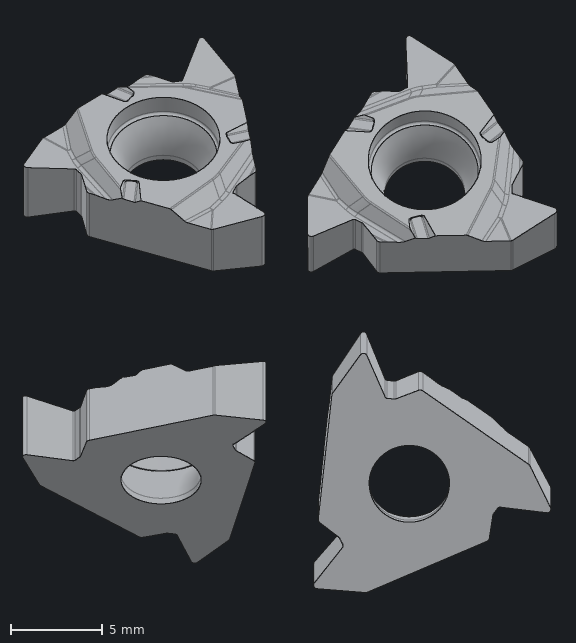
import math

import cadquery as cq

TEETH = 3
THICKNESS = 4.1
INSCRIBED_RADIUS = 9.525 / 2
TOLERANCE = 1e-4
BIG = 30.0

TOOTH_SHOULDER_Y = -4.70
TOOTH_AXIS_X = -3.265
SHOULDER_FILLET = 0.25
TOOTH_HALF_ANGLE = 28.8
TOOTH_TIP_RADIUS = 0.208
NOTCH_Y = -4.765
NOTCH_END_X = -1.28
CORNER_X = 0.06
NOTCH_ROOT_FILLET = 0.12
NOTCH_EDGE_FILLET = 0.25
CORNER_FILLET = 0.25

TOOTH_RAKE = 15.0
TOOTH_BASE_Z = 3.385
SIDE_FLOOR_Z = 3.365
SIDE_FLOOR_TILT = 5.0
CORNER_LAND_Z = 3.53
CORNER_LAND_LEFT = -1.2
CORNER_LAND_RIGHT = 1.8
CORNER_LAND_FRONT = -7.0
CORNER_LAND_BLEND = 0.3
POCKET_LEFT, POCKET_RIGHT = -9.0, 7.0
POCKET_FRONT, POCKET_BACK = -11.0, -1.0
POCKET_ROOM = 1.0
MARGIN = 0.1
FLOOR_FILLET = 0.25

WALL_BEND = (-1.58, -3.735)
SIDE_WALL_HEADING = -25.3
SIDE_WALL_SLOPE = 42.0
CORNER_WALL_HEADING = -8.2
CORNER_WALL_SLOPE = 46.5
WALL_BEND_RADIUS = 2.6
WALL_TOP_FILLET = 0.13

GROOVE_START = (1.28, -3.32)
GROOVE_HEADING = -45.0
GROOVE_FLOOR_WIDTH = 0.66
GROOVE_START_DEPTH = 0.08
GROOVE_FALL = 8.5
GROOVE_WALL_ANGLE = 50.0
GROOVE_FILLET = 0.12
GROOVE_LENGTH = 3.0
GROOVE_PROFILE_HEIGHT = 1.0

HOLE_RADIUS = 4.4 / 2
RECESS_RADIUS = 6.2 / 2
RECESS_DEPTH = 1.145
RECESS_FOOT_ROUND = 0.16
SEAT_ARC_RADIUS = 4.3


def side_direction(heading):
    angle = math.radians(heading)
    return cq.Vector(math.cos(angle), math.sin(angle), 0)


def half_space(point, normal):
    """Large block on the side of a plane that the normal points to."""
    return cq.Workplane(cq.Plane(point, normal=normal)).rect(BIG, BIG).extrude(BIG)


def blank():
    """Prism with the full outline and its vertical edges rounded."""
    spread = math.tan(math.radians(TOOTH_HALF_ANGLE))
    apex_y = TOOTH_SHOULDER_Y - (TOOTH_AXIS_X + INSCRIBED_RADIUS) / spread
    notch_start_x = TOOTH_AXIS_X + (NOTCH_Y - apex_y) * spread
    corner_y = (CORNER_X * math.cos(math.pi / TEETH) - INSCRIBED_RADIUS) / math.sin(math.pi / TEETH)
    third = [
        (-INSCRIBED_RADIUS, TOOTH_SHOULDER_Y),
        (TOOTH_AXIS_X, apex_y),
        (notch_start_x, NOTCH_Y),
        (NOTCH_END_X, NOTCH_Y),
        (CORNER_X, corner_y),
    ]
    outline = []
    for i in range(TEETH):
        turn = cq.Location((0, 0, 0), (0, 0, 1), 360 / TEETH * i)
        outline += [(turn * cq.Location((x, y, 0))).toTuple()[0][:2] for x, y in third]
    body = cq.Workplane().polyline(outline).close().extrude(THICKNESS)

    radii = (SHOULDER_FILLET, TOOTH_TIP_RADIUS, NOTCH_ROOT_FILLET, NOTCH_EDGE_FILLET, CORNER_FILLET)
    for point, radius in zip(third, radii):
        distance = math.hypot(*point)
        body = body.edges("|Z").filter(
            lambda edge: abs(math.hypot(edge.Center().x, edge.Center().y) - distance) < TOLERANCE
        ).fillet(radius)
    return body


def pocket_wall():
    """Island left standing: two sloping facets blended into each other."""
    top = (*WALL_BEND, THICKNESS)
    facets = []
    for heading, slope in (
        (SIDE_WALL_HEADING, SIDE_WALL_SLOPE),
        (CORNER_WALL_HEADING, CORNER_WALL_SLOPE),
    ):
        outward = side_direction(heading - 90) * math.sin(math.radians(slope))
        normal = outward + cq.Vector(0, 0, math.cos(math.radians(slope)))
        facets.append(half_space(top, normal * -1))
    wall = facets[0].intersect(facets[1])
    return wall.edges(cq.selectors.NearestToPointSelector(top)).fillet(WALL_BEND_RADIUS)


def pocket_block():
    """Block that reaches past one tooth, from below the pocket floor to above the top face."""
    width = POCKET_RIGHT - POCKET_LEFT
    depth = POCKET_BACK - POCKET_FRONT
    height = THICKNESS - SIDE_FLOOR_Z + 2 * POCKET_ROOM
    corner = (POCKET_LEFT, POCKET_FRONT, SIDE_FLOOR_Z - POCKET_ROOM)
    return cq.Workplane(origin=corner).box(width, depth, height, centered=False)


def chip_pocket():
    """Space above the tooth face and the side floor, up to the pocket wall."""
    rake = math.radians(TOOTH_RAKE)
    tilt = math.radians(SIDE_FLOOR_TILT)
    above_tooth = half_space((0, TOOTH_SHOULDER_Y, TOOTH_BASE_Z), (0, math.sin(rake), math.cos(rake)))
    above_side = half_space((-INSCRIBED_RADIUS, 0, SIDE_FLOOR_Z), (math.sin(tilt), 0, math.cos(tilt)))
    pocket = pocket_block().intersect(above_tooth).intersect(above_side).cut(pocket_wall())
    inner = cq.selectors.BoxSelector(
        (POCKET_LEFT + MARGIN, POCKET_FRONT + MARGIN, 0),
        (POCKET_RIGHT - MARGIN, POCKET_BACK - MARGIN, THICKNESS),
    )
    return pocket.edges(inner).fillet(FLOOR_FILLET)


def corner_land():
    """Levels the rising floor at the corner, with a rounded ridge where the land begins."""
    rake = math.radians(TOOTH_RAKE)
    ridge_y = TOOTH_SHOULDER_Y - (CORNER_LAND_Z - TOOTH_BASE_Z) / math.tan(rake)
    tangent = CORNER_LAND_BLEND * math.tan(rake / 2)
    blend_start = (ridge_y + tangent * math.cos(rake), CORNER_LAND_Z - tangent * math.sin(rake))
    return (
        cq.Workplane("YZ", origin=(CORNER_LAND_LEFT, 0, 0))
        .moveTo(CORNER_LAND_FRONT, CORNER_LAND_Z)
        .lineTo(ridge_y - tangent, CORNER_LAND_Z)
        .tangentArcPoint(blend_start, relative=False)
        .lineTo(blend_start[0], THICKNESS)
        .lineTo(CORNER_LAND_FRONT, THICKNESS)
        .close()
        .extrude(CORNER_LAND_RIGHT - CORNER_LAND_LEFT)
    )


def groove():
    """Flared channel that falls toward the side and runs out through it."""
    fall = math.radians(GROOVE_FALL)
    along = side_direction(GROOVE_HEADING) * math.cos(fall) - cq.Vector(0, 0, math.sin(fall))
    across = side_direction(GROOVE_HEADING + 90)
    start = (*GROOVE_START, THICKNESS - GROOVE_START_DEPTH)
    half = GROOVE_FLOOR_WIDTH / 2
    flare = GROOVE_PROFILE_HEIGHT * math.tan(math.radians(GROOVE_WALL_ANGLE))
    profile = cq.Workplane(cq.Plane(start, xDir=across, normal=along)).polyline([
        (-half, 0), (half, 0),
        (half + flare, GROOVE_PROFILE_HEIGHT), (-half - flare, GROOVE_PROFILE_HEIGHT),
    ])
    tool = profile.close().extrude(GROOVE_LENGTH)
    rounded = []
    for side in (-1, 1):
        floor_edge = across * (side * half) + along * (GROOVE_LENGTH / 2)
        end_edge = across * (side * (half + flare / 2)) + along.cross(across) * (GROOVE_PROFILE_HEIGHT / 2)
        for offset in (floor_edge, end_edge):
            place = cq.Vector(start) + offset
            rounded += tool.edges(cq.selectors.NearestToPointSelector(place.toTuple())).vals()
    return tool.newObject(rounded).fillet(GROOVE_FILLET)


def screw_hole():
    """Straight recess, rounded foot, bulging conical seat and bore."""
    recess_foot_z = THICKNESS - RECESS_DEPTH
    seat_radius = RECESS_RADIUS - RECESS_FOOT_ROUND
    seat_z = recess_foot_z - RECESS_FOOT_ROUND
    seat_angle = math.acos(1 - (seat_radius - HOLE_RADIUS) / SEAT_ARC_RADIUS)
    seat_end_z = seat_z - SEAT_ARC_RADIUS * math.sin(seat_angle)
    seat_middle = (
        HOLE_RADIUS + SEAT_ARC_RADIUS * (1 - math.cos(seat_angle / 2)),
        seat_end_z + SEAT_ARC_RADIUS * math.sin(seat_angle / 2),
    )
    return (
        cq.Workplane("XZ")
        .polyline([(0, 0), (0, THICKNESS), (RECESS_RADIUS, THICKNESS)])
        .lineTo(RECESS_RADIUS, recess_foot_z)
        .tangentArcPoint((seat_radius, seat_z), relative=False)
        .threePointArc(seat_middle, (HOLE_RADIUS, seat_end_z))
        .lineTo(HOLE_RADIUS, 0)
        .close()
        .revolve(360, (0, 0, 0), (0, 1, 0))
    )


def on_a_side(edge):
    """True where an edge lies in one of the three straight sides."""
    headings = [180 + 360 / TEETH * i for i in range(TEETH)]
    reach = max(edge.Center().dot(side_direction(heading)) for heading in headings)
    return abs(reach - INSCRIBED_RADIUS) < TOLERANCE


def cut_around(body, tool):
    for i in range(TEETH):
        body = body.cut(tool.rotate((0, 0, 0), (0, 0, 1), 360 / TEETH * i))
    return body


body = cut_around(blank(), chip_pocket())
body = body.faces(">Z").edges().filter(lambda edge: not on_a_side(edge)).fillet(WALL_TOP_FILLET)
body = cut_around(body, corner_land())
body = cut_around(body, groove())
result = body.cut(screw_hole())